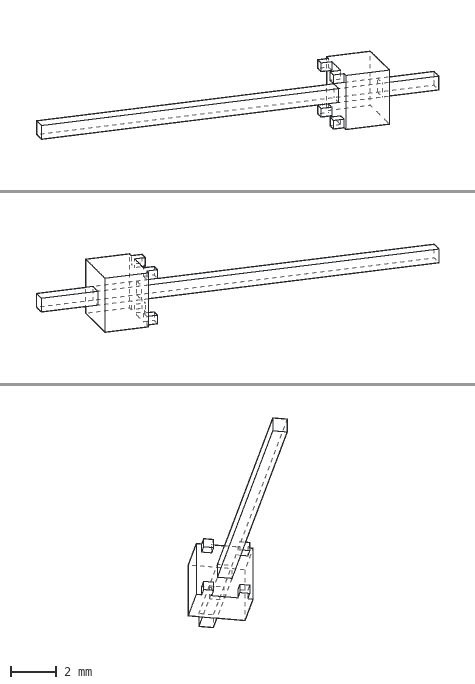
import cadquery as cq

pin_length = 18.54
pin_width = 0.65
pin_tail = 2.63

housing_width = 2.54
housing_depth = 2.04
foot_width = 0.45
foot_height = 0.4
foot_length = 0.5
foot_side_inset = 0.25

housing_back = pin_length / 2 - pin_tail
housing_front = housing_back - housing_depth


def bar(width, height, y_front, y_back, x=0, z=0):
    """Rectangular bar along Y, centred on (x, z)."""
    length = y_back - y_front
    return cq.Workplane("XY").box(width, length, height).translate((x, y_front + length / 2, z))


def make_pin():
    return bar(pin_width, pin_width, -pin_length / 2, pin_length / 2)


def make_housing():
    body = bar(housing_width, housing_width, housing_front, housing_back)

    foot_x = housing_width / 2 - foot_side_inset - foot_width / 2
    foot_z = (housing_width - foot_height) / 2
    for x in (-foot_x, foot_x):
        for z in (-foot_z, foot_z):
            body = body.union(
                bar(foot_width, foot_height, housing_front - foot_length, housing_front, x, z)
            )

    return body.cut(bar(pin_width, pin_width, housing_front, housing_back))


housing = make_housing()
pin = make_pin()

result = cq.Compound.makeCompound([housing.val(), pin.val()])